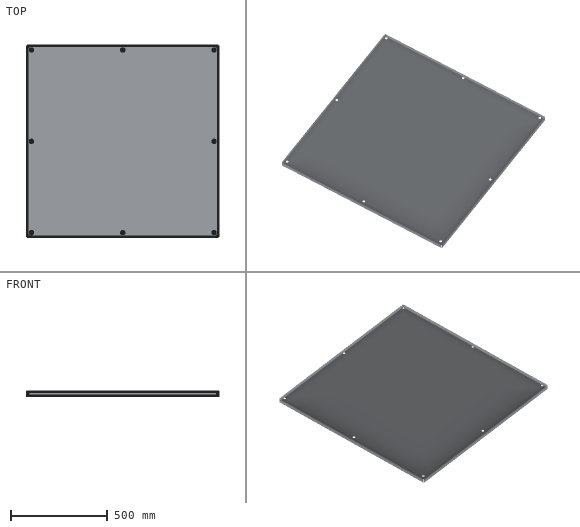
import cadquery as cq

side = 991.0
height = 22.0
sheet = 2.0
bend_inner_radius = 2.0
bend_outer_radius = bend_inner_radius + sheet

corner_notch = 5.0

hole_diameter = 14.0
hole_inset = 22.0
hole_offset = side / 2 - hole_inset


def rounded_top_block(width, block_height, bend_radius):
    block = cq.Workplane("XY").box(width, width, block_height, centered=(True, True, False))
    return block.faces(">Z").edges().fillet(bend_radius)


def make_pan():
    outside = rounded_top_block(side, height, bend_outer_radius)
    inside = rounded_top_block(side - 2 * sheet, height - sheet, bend_inner_radius)
    return outside.cut(inside)


def corner_reliefs():
    corner_spacing = side - corner_notch
    return (
        cq.Workplane("XY")
        .rarray(corner_spacing, corner_spacing, 2, 2)
        .rect(corner_notch, corner_notch)
        .extrude(height)
    )


def mounting_holes():
    steps = (-hole_offset, 0, hole_offset)
    centers = [(x, y) for x in steps for y in steps if (x, y) != (0, 0)]
    return cq.Workplane("XY").pushPoints(centers).circle(hole_diameter / 2).extrude(height)


result = make_pan().cut(corner_reliefs()).cut(mounting_holes())